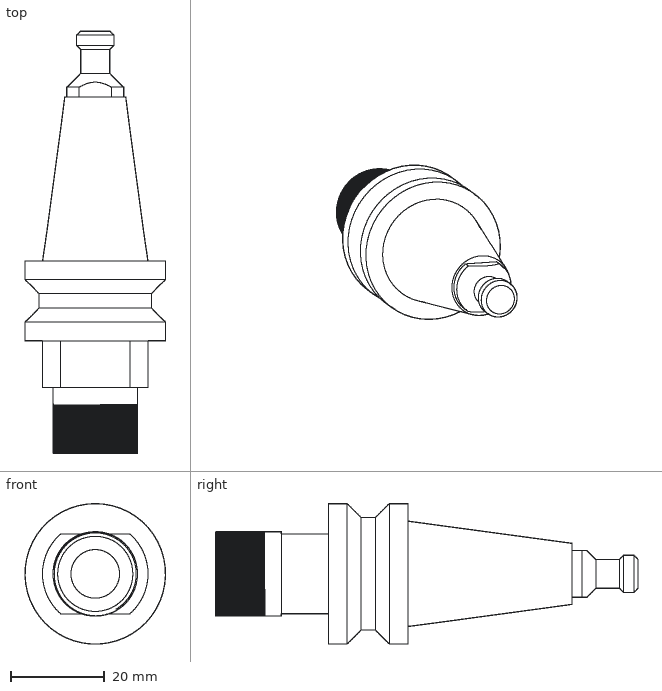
import cadquery as cq
length = 90.0
rear_y = length / 2

stud_head_diameter = 8.0
stud_neck_diameter = 6.2
stud_head_length = 4.0
stud_cone_start = 9.0
stud_collar_diameter = 12.15
stud_collar_flats = 10.0
stud_bevel = (stud_head_diameter - stud_neck_diameter) / 2
stud_cone_end = stud_cone_start + (stud_collar_diameter - stud_neck_diameter) / 2

taper_start = 14.0
taper_end = 49.0
taper_small_diameter = 13.05
taper_large_diameter = 22.5

flange_diameter = 30.0
flange_end = 66.0
groove_root_diameter = 24.0
groove_root_width = 3.1
groove_middle = (taper_end + flange_end) / 2
groove_root_half = groove_root_width / 2
groove_mouth_half = groove_root_half + (flange_diameter - groove_root_diameter) / 2

body_diameter = 22.5
body_flats = 17.0
body_end = 76.0
nose_diameter = 18.0

thread_length = 10.5
thread_turns = 33
thread_depth = 0.3
thread_pitch = thread_length / thread_turns
thread_groove_width = 0.8 * thread_pitch
thread_cut_overshoot = 0.045

seat_mouth_diameter = 16.0
seat_floor_diameter = 10.35
seat_depth = 19.8


def revolve_profile(sections):
    """Solid of revolution about Y from (diameter, axial distance) pairs."""
    outline = [(rear_y - distance, diameter / 2) for diameter, distance in sections]
    axis_ends = [(outline[-1][0], 0), (outline[0][0], 0)]
    profile = cq.Workplane("YZ").polyline(outline + axis_ends).close()
    return profile.revolve(360, (0, 0, 0), (1, 0, 0))


def turned_blank():
    """Complete outer shape before the flats and the thread are cut."""
    return revolve_profile([
        (stud_neck_diameter, 0),
        (stud_head_diameter, stud_bevel),
        (stud_head_diameter, stud_head_length - stud_bevel),
        (stud_neck_diameter, stud_head_length),
        (stud_neck_diameter, stud_cone_start),
        (stud_collar_diameter, stud_cone_end),
        (stud_collar_diameter, taper_start),
        (taper_small_diameter, taper_start),
        (taper_large_diameter, taper_end),
        (flange_diameter, taper_end),
        (flange_diameter, groove_middle - groove_mouth_half),
        (groove_root_diameter, groove_middle - groove_root_half),
        (groove_root_diameter, groove_middle + groove_root_half),
        (flange_diameter, groove_middle + groove_mouth_half),
        (flange_diameter, flange_end),
        (body_diameter, flange_end),
        (body_diameter, body_end),
        (nose_diameter, body_end),
        (nose_diameter, length),
    ])


def collet_seat():
    """Conical bore, widest at the nose end."""
    return revolve_profile([
        (seat_floor_diameter, length - seat_depth),
        (seat_mouth_diameter, length),
    ])


def flats_cut(start, end, across_flats):
    """Material outside a +Z and -Z pair of flats over one axial stretch."""
    slab = cq.Workplane("XY").box(flange_diameter, end - start, flange_diameter)
    kept = cq.Workplane("XY").box(flange_diameter, end - start, across_flats)
    return slab.cut(kept).translate((0, rear_y - (start + end) / 2, 0))


def thread_groove():
    """Helical V groove starting on the -X side and running out through the nose end."""
    radius = nose_diameter / 2
    mouth_radius = radius + thread_cut_overshoot
    half_width = thread_groove_width / 2

    turn = cq.Wire.makeHelix(thread_pitch, thread_pitch, radius)
    turns = [turn.translate(cq.Vector(0, 0, i * thread_pitch)) for i in range(thread_turns + 1)]
    helix = cq.Wire.combine(turns)[0]

    section = cq.Workplane("XZ").polyline([
        (radius - thread_depth, 0),
        (mouth_radius, half_width),
        (mouth_radius, -half_width),
    ]).close()
    groove = section.sweep(cq.Workplane(helix), isFrenet=True)

    groove = groove.rotate((0, 0, 0), (1, 0, 0), 90)
    groove = groove.rotate((0, 0, 0), (0, 1, 0), 180)
    return groove.translate((0, rear_y - length + thread_length, 0))


result = turned_blank().cut(collet_seat())
result = result.cut(flats_cut(stud_cone_start, taper_start, stud_collar_flats))
result = result.cut(flats_cut(flange_end, body_end, body_flats))
result = result.cut(thread_groove())